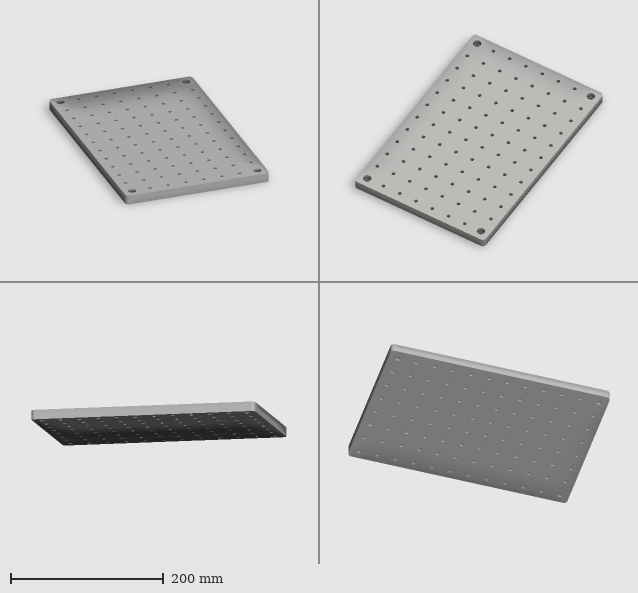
import cadquery as cq

LENGTH = 300.0
WIDTH = 200.0
THICKNESS = 12.7
CORNER_RADIUS = 5.0

PITCH = 25.0
COLUMNS = 12
ROWS = 8
GRID_HOLE_DIAMETER = 5.0

MOUNT_HOLE_DIAMETER = 6.6
COUNTERBORE_DIAMETER = 11.0
COUNTERBORE_DEPTH = 7.0


def grid_positions():
    """Return the grid centres as (corner positions, all other positions)."""
    corners = []
    others = []
    for column in range(COLUMNS):
        for row in range(ROWS):
            x = (column - (COLUMNS - 1) / 2) * PITCH
            y = (row - (ROWS - 1) / 2) * PITCH
            if column in (0, COLUMNS - 1) and row in (0, ROWS - 1):
                corners.append((x, y))
            else:
                others.append((x, y))
    return corners, others


def make_plate():
    """Flat plate with rounded vertical corners, underside on Z = 0."""
    plate = cq.Workplane("XY").box(LENGTH, WIDTH, THICKNESS, centered=(True, True, False))
    return plate.edges("|Z").fillet(CORNER_RADIUS)


def on_top_face(plate, positions):
    """Select hole centres on the top face, measured from the plate centre."""
    return plate.faces(">Z").workplane(origin=(0, 0, THICKNESS)).pushPoints(positions)


def cut_grid_holes(plate, positions):
    """Plain holes through the full thickness."""
    return on_top_face(plate, positions).hole(GRID_HOLE_DIAMETER)


def cut_mounting_holes(plate, positions):
    """Through holes counterbored from the top face."""
    centres = on_top_face(plate, positions)
    return centres.cboreHole(MOUNT_HOLE_DIAMETER, COUNTERBORE_DIAMETER, COUNTERBORE_DEPTH)


corner_positions, other_positions = grid_positions()
result = make_plate()
result = cut_grid_holes(result, other_positions)
result = cut_mounting_holes(result, corner_positions).solids()